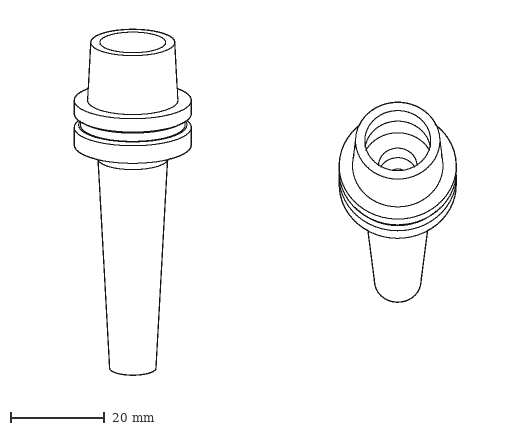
import cadquery as cq
import math

total_length = 73.0
shank_length = 13.0
flange_length = 10.0
neck_length = 3.1

rim_radius = 9.0
shank_base_radius = 9.6
flange_radius = 12.5
neck_top_radius = 10.45
nose_top_radius = 7.45
nose_tip_radius = 5.0

upper_rim_height = 3.0
groove_width = 3.1
groove_radius = 11.2
groove_lip_radius = 11.5
groove_bevel_angle = 30.0

socket_radius = 7.0
socket_mouth_depth = 5.5
socket_depth = 13.0
recess_radius = 7.7
seat_radius = 4.1
seat_depth = 5.0
through_hole_radius = 1.5

flange_top = total_length - shank_length
flange_bottom = flange_top - flange_length
nose_top = flange_bottom - neck_length
groove_top = flange_top - upper_rim_height
groove_bottom = groove_top - groove_width
groove_bevel = (flange_radius - groove_lip_radius) * math.tan(math.radians(groove_bevel_angle))
groove_floor_top = groove_top - groove_bevel
groove_floor_bottom = groove_bottom + groove_bevel


def outer_body():
    """Tapered shank, grooved flange, conical neck and tapered nose."""
    profile = [
        (0, 0),
        (nose_tip_radius, 0),
        (nose_top_radius, nose_top),
        (neck_top_radius, flange_bottom),
        (flange_radius, flange_bottom),
        (flange_radius, groove_bottom),
        (groove_lip_radius, groove_floor_bottom),
        (groove_radius, groove_floor_bottom),
        (groove_radius, groove_floor_top),
        (groove_lip_radius, groove_floor_top),
        (flange_radius, groove_top),
        (flange_radius, flange_top),
        (shank_base_radius, flange_top),
        (rim_radius, total_length),
        (0, total_length),
    ]
    return cq.Workplane("XZ").polyline(profile).close().revolve(360, (0, 0), (0, 1))


def inner_bore():
    """Socket with a clamping recess, a smaller seat and a through hole."""
    mouth_bottom = total_length - socket_mouth_depth
    socket_floor = total_length - socket_depth
    seat_floor = socket_floor - seat_depth
    profile = [
        (0, 0),
        (through_hole_radius, 0),
        (through_hole_radius, seat_floor),
        (seat_radius, seat_floor),
        (seat_radius, socket_floor),
        (recess_radius, socket_floor),
        (recess_radius, mouth_bottom),
        (socket_radius, mouth_bottom),
        (socket_radius, total_length),
        (0, total_length),
    ]
    return cq.Workplane("XZ").polyline(profile).close().revolve(360, (0, 0), (0, 1))


result = outer_body().cut(inner_bore())